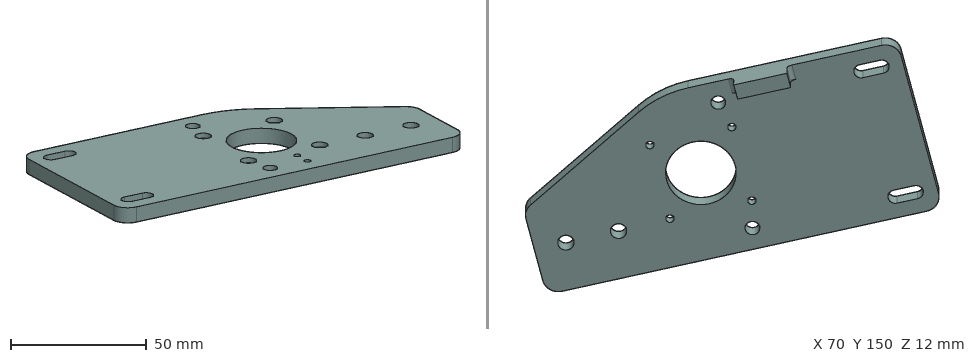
import cadquery as cq
import math

width = 70.0
length = 150.0
thickness = 6.0
corner_radius = 6.0
taper_angle = 30.0
taper_corner_y = 90.0
taper_blend_radius = 40.0

tab_width = 6.0
tab_height = 6.0
tab_length = 20.1
tab_center_y = 51.9
tab_root_radius = 2.0

center_x = width / 2
motor_y = 83.0
motor_bore_diameter = 26.0
motor_screw_spacing = 31.0
motor_screw_diameter = 3.0
counterbore_diameter = 6.0
counterbore_depth = 2.0

mount_spacing = 53.0
mount_diameter = 5.4
mount_hole_y = 69.9
slot_y = 11.8
slot_length = 13.2

upper_hole_diameter = 6.0
upper_hole_x = 51.0
upper_hole_top_y = 138.0
upper_hole_pitch = 20.0

blind_diameter = 2.5
blind_depth = 4.5
blind_first_x = 55.5
blind_pitch = 7.0
blind_y = 85.5


def make_plate():
    taper_top_x = (length - taper_corner_y) * math.tan(math.radians(taper_angle))
    outline = [
        (0, 0),
        (width, 0),
        (width, length),
        (taper_top_x, length),
        (0, taper_corner_y),
    ]
    plate = cq.Workplane("XY").polyline(outline).close().extrude(thickness)
    blend_corner = cq.selectors.NearestToPointSelector((0, taper_corner_y, thickness / 2))
    plate = plate.edges(blend_corner).fillet(taper_blend_radius)
    for x, y in outline[:-1]:
        corner = cq.selectors.NearestToPointSelector((x, y, thickness / 2))
        plate = plate.edges(corner).fillet(corner_radius)
    return plate


def make_tab():
    """Tab profile in the YZ plane, with concave fillets where it meets the plate."""
    low_y = tab_center_y - tab_length / 2
    high_y = tab_center_y + tab_length / 2
    return (
        cq.Workplane("YZ")
        .moveTo(low_y, -tab_height)
        .lineTo(high_y, -tab_height)
        .lineTo(high_y, -tab_root_radius)
        .radiusArc((high_y + tab_root_radius, 0), tab_root_radius)
        .lineTo(high_y + tab_root_radius, thickness / 2)
        .lineTo(low_y - tab_root_radius, thickness / 2)
        .lineTo(low_y - tab_root_radius, 0)
        .radiusArc((low_y, -tab_root_radius), tab_root_radius)
        .close()
        .extrude(tab_width)
    )


def hole_cutter(points, diameter, depth=thickness):
    """Cylinders reaching down from the top face."""
    top = cq.Workplane("XY", origin=(0, 0, thickness))
    return top.pushPoints(points).circle(diameter / 2).extrude(-depth)


body = make_plate().union(make_tab())

half_screw_spacing = motor_screw_spacing / 2
screw_points = [
    (center_x + side_x * half_screw_spacing, motor_y + side_y * half_screw_spacing)
    for side_x in (-1, 1)
    for side_y in (-1, 1)
]
body = body.cut(hole_cutter([(center_x, motor_y)], motor_bore_diameter))
body = body.cut(hole_cutter(screw_points, motor_screw_diameter))
body = body.cut(hole_cutter(screw_points, counterbore_diameter, counterbore_depth))

mount_xs = [center_x - mount_spacing / 2, center_x + mount_spacing / 2]
slots = (
    cq.Workplane("XY")
    .pushPoints([(x, slot_y) for x in mount_xs])
    .slot2D(slot_length, mount_diameter, 90)
    .extrude(thickness)
)
body = body.cut(hole_cutter([(x, mount_hole_y) for x in mount_xs], mount_diameter))
body = body.cut(slots)

upper_points = [(upper_hole_x, upper_hole_top_y - i * upper_hole_pitch) for i in range(2)]
body = body.cut(hole_cutter(upper_points, upper_hole_diameter))

blind_points = [(blind_first_x + i * blind_pitch, blind_y) for i in range(2)]
body = body.cut(hole_cutter(blind_points, blind_diameter, blind_depth))

result = body